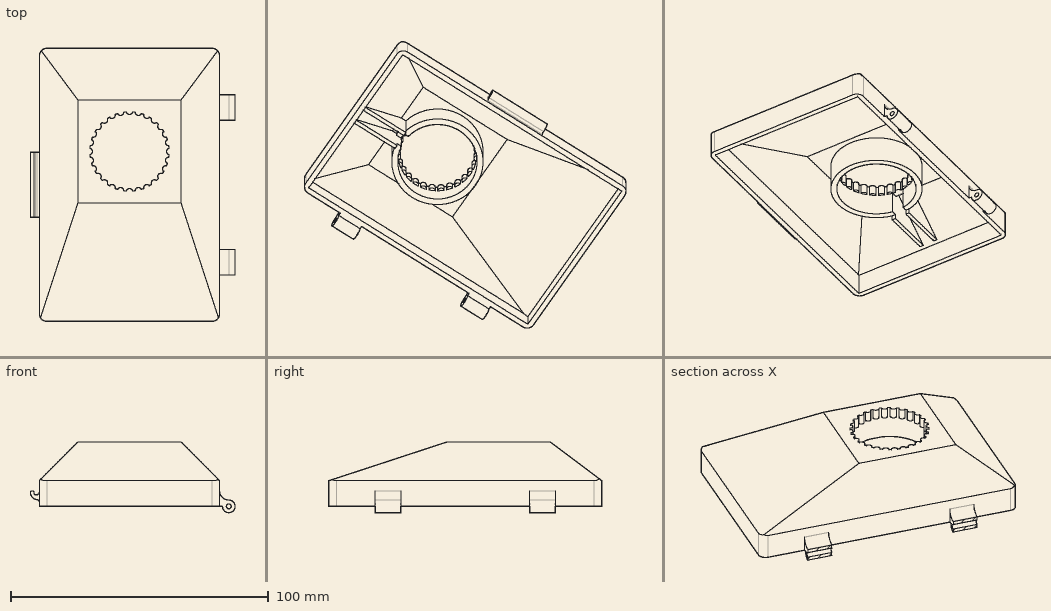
import cadquery as cq


hood_length = 106.0
hood_width = 70.0
rim_height = 10.0
hood_height = 25.0
top_side = 40.1
top_back_setback = 20.0
corner_radius = 3.0
wall = 2.0

opening_y = hood_length / 2 - top_back_setback - top_side / 2
opening_radius = 15.4
tooth_count = 28
tooth_diameter = 2.5
tooth_height = 1.1
toothed_depth = 4.0
sleeve_depth = 13.2
sleeve_wall = 2.3

slot_width = 4.9
rib_thickness = 1.5
rib_depth = 15.3
rib_embed = 0.5

knuckle_diameter = 5.0
knuckle_radius = knuckle_diameter / 2
pin_diameter = 1.8
knuckle_reach = 6.0
knuckle_length = 10.0
knuckle_offset_y = 30.0

hook_length = 25.3
hook_reach = 3.5
hook_belly_height = 2.5
hook_belly_radius = 3.0
hook_tip_height = 5.5
hook_top_height = 6.0
hook_lip_height = 5.7
hook_lip_width = 1.5
hook_floor_height = 4.6
hook_fillet = 1.0
hook_corner_radius = 0.5

side_x = hood_width / 2
overlap = wall / 2


def sharp_hood():
    """Rectangular rim topped by an off-centre truncated pyramid, before the corners are rounded."""
    rim = cq.Workplane("XY").box(hood_width, hood_length, rim_height, centered=(True, True, False))
    roof = (
        cq.Workplane("XY")
        .workplane(offset=rim_height)
        .rect(hood_width, hood_length)
        .workplane(offset=hood_height - rim_height)
        .center(0, opening_y)
        .rect(top_side, top_side)
        .loft(ruled=True, combine=True)
    )
    return rim.union(roof)


def opening_plane():
    """Workplane on the flat top, centred on the opening."""
    return cq.Workplane("XY").workplane(offset=hood_height).center(0, opening_y)


def sleeve_blank():
    """Solid cylinder that becomes the sleeve once the opening is cut."""
    return opening_plane().circle(opening_radius + sleeve_wall).extrude(-sleeve_depth)


def opening():
    """Cutter through the full depth of the sleeve."""
    return opening_plane().circle(opening_radius).extrude(-sleeve_depth)


def teeth():
    """Ring of round teeth standing proud of the wall of the opening at its upper end."""
    tooth_circle_radius = opening_radius - tooth_height + tooth_diameter / 2
    return (
        opening_plane()
        .polarArray(tooth_circle_radius, 0, 360, tooth_count)
        .circle(tooth_diameter / 2)
        .extrude(-toothed_depth)
    )


def ribs():
    """Two upright ribs along Y, from the outside of the sleeve to the back of the hood."""
    start_y = opening_y + opening_radius + sleeve_wall - rib_embed
    length = hood_length / 2 - start_y
    plates = (
        cq.Workplane("XY")
        .pushPoints([(side * (slot_width + rib_thickness) / 2, 0) for side in (-1, 1)])
        .box(rib_thickness, length, rib_depth, centered=(True, False, False))
    )
    return plates.translate((0, start_y, hood_height - rib_depth))


def slot():
    """Cutter for the gap in the back of the sleeve, below the teeth."""
    depth = sleeve_depth - toothed_depth
    cutter = cq.Workplane("XY").box(
        slot_width, opening_radius + sleeve_wall + overlap, depth, centered=(True, False, False)
    )
    return cutter.translate((0, opening_y, hood_height - sleeve_depth))


def knuckle(y):
    """Hinge eye on the +X side, joined to the rim by an arm with a hollow top tangent to the eye."""
    arm_length = knuckle_reach - knuckle_radius
    eye_x = side_x + arm_length
    arm = (
        cq.Workplane("XZ")
        .moveTo(side_x - overlap, 0)
        .lineTo(eye_x, 0)
        .lineTo(eye_x, knuckle_radius)
        .radiusArc((side_x, knuckle_radius + arm_length), arm_length)
        .lineTo(side_x - overlap, knuckle_radius + arm_length)
        .close()
        .extrude(knuckle_length / 2, both=True)
    )
    eye = cq.Workplane("XZ").center(eye_x, 0).circle(knuckle_radius).extrude(knuckle_length / 2, both=True)
    pin = cq.Workplane("XZ").center(eye_x, 0).circle(pin_diameter / 2).extrude(knuckle_length, both=True)
    return arm.union(eye).cut(pin).translate((0, y, 0))


def hook():
    """Upturned catch along the -X side, with a rounded belly, a domed lip and fillets at the rim."""
    tip_x = -side_x - hook_reach
    lip_x = tip_x + hook_lip_width
    root_x = -side_x - hook_fillet
    profile = (
        cq.Workplane("XZ")
        .moveTo(-side_x + overlap, hook_belly_height - hook_fillet)
        .lineTo(-side_x, hook_belly_height - hook_fillet)
        .radiusArc((root_x, hook_belly_height), -hook_fillet)
        .radiusArc((tip_x, hook_tip_height), hook_belly_radius)
        .threePointArc(((tip_x + lip_x) / 2, hook_top_height), (lip_x, hook_lip_height))
        .lineTo(lip_x, hook_floor_height + hook_corner_radius)
        .radiusArc((lip_x + hook_corner_radius, hook_floor_height), -hook_corner_radius)
        .lineTo(root_x, hook_floor_height)
        .radiusArc((-side_x, hook_floor_height + hook_fillet), -hook_fillet)
        .lineTo(-side_x + overlap, hook_floor_height + hook_fillet)
        .close()
    )
    return profile.extrude(hook_length / 2, both=True)


hood = sharp_hood()
sharp_shell = hood.faces("<Z").shell(-wall)
cavity = hood.cut(sharp_shell)
rounded_envelope = (
    cq.Workplane("XY")
    .box(hood_width, hood_length, hood_height, centered=(True, True, False))
    .edges("|Z")
    .fillet(corner_radius)
)

result = sharp_shell.intersect(rounded_envelope)
result = result.union(sleeve_blank()).union(ribs().intersect(cavity))
result = result.cut(opening()).cut(slot()).union(teeth())
for hinge_y in (-knuckle_offset_y, knuckle_offset_y):
    result = result.union(knuckle(hinge_y))
result = result.union(hook())